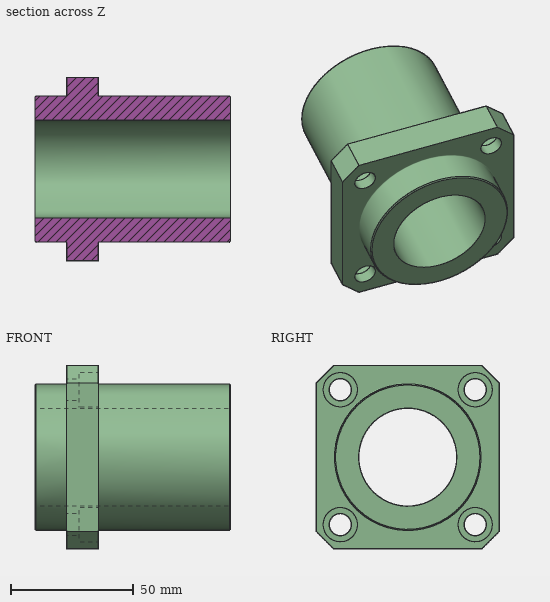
import cadquery as cq

length = 80.0
body_diameter = 60.0
bore_diameter = 40.0
end_chamfer = 0.5

flange_size = 75.0
flange_thickness = 13.0
flange_start = 13.0
corner_chamfer = 7.2
root_fillet = 0.3

hole_diameter = 9.0
hole_spacing = 55.2
counterbore_diameter = 14.0
counterbore_depth = 8.0


def make_body():
    """Cylinder with both outer end edges chamfered."""
    body = cq.Workplane("YZ").circle(body_diameter / 2).extrude(length)
    return body.edges("%CIRCLE").chamfer(end_chamfer)


def make_flange():
    """Square plate with its four corners cut off."""
    plate = cq.Workplane("YZ", origin=(flange_start, 0, 0))
    plate = plate.rect(flange_size, flange_size).extrude(flange_thickness)
    return plate.edges("|X").chamfer(corner_chamfer)


def make_root_fillet(face_x, outward):
    """Concave ring where the body meets a flange face; outward is -1 or 1 along X."""
    radius = body_diameter / 2
    tip_x = face_x + outward * root_fillet
    center = (tip_x, radius + root_fillet)
    arc_offset = root_fillet * 0.5 ** 0.5
    arc_middle = (center[0] - outward * arc_offset, center[1] - arc_offset)
    overlap_radius = radius - root_fillet
    profile = (
        cq.Workplane("XY")
        .moveTo(face_x, overlap_radius)
        .lineTo(tip_x, overlap_radius)
        .lineTo(tip_x, radius)
        .threePointArc(arc_middle, (face_x, radius + root_fillet))
        .close()
    )
    return profile.revolve(360, (0, 0, 0), (1, 0, 0))


def make_bore():
    return cq.Workplane("YZ").circle(bore_diameter / 2).extrude(length)


def make_hole_pattern(diameter, depth):
    """Four cylinders reaching the given depth into the flange from its +X face."""
    return (
        cq.Workplane("YZ", origin=(flange_start + flange_thickness, 0, 0))
        .rect(hole_spacing, hole_spacing, forConstruction=True)
        .vertices()
        .circle(diameter / 2)
        .extrude(-depth)
    )


result = make_body().union(make_flange())
result = result.union(make_root_fillet(flange_start, -1))
result = result.union(make_root_fillet(flange_start + flange_thickness, 1))
result = result.cut(make_bore())
result = result.cut(make_hole_pattern(hole_diameter, flange_thickness))
result = result.cut(make_hole_pattern(counterbore_diameter, counterbore_depth))